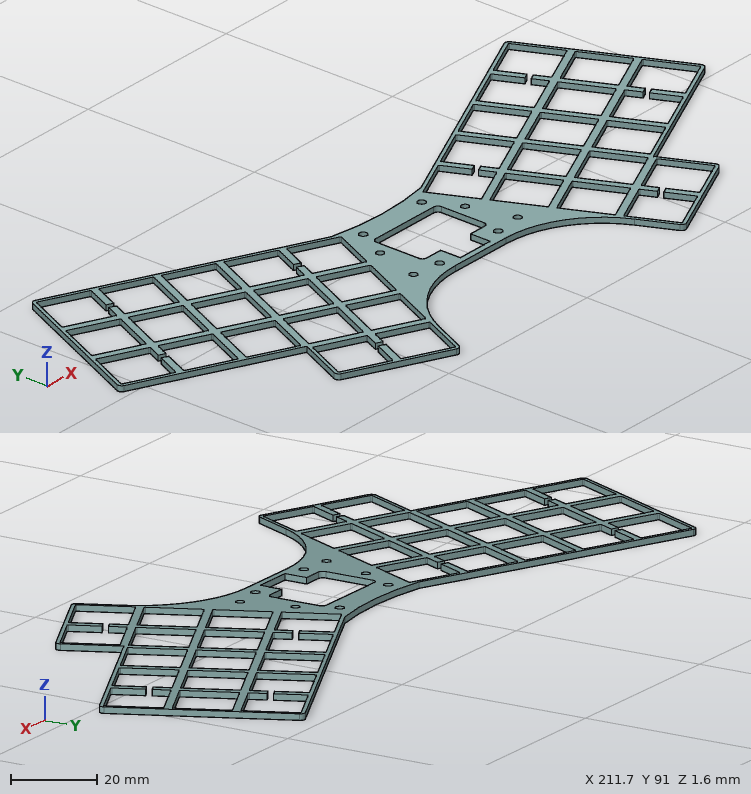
import math

import cadquery as cq

THICKNESS = 1.6
TILT = 25.0
KEY_SIZE = 14.0
KEY_RADIUS = 0.25
KEY_PITCH = 16.0
COLUMNS = 5
MAIN_ROWS = 3
THUMB_COLUMNS = 2
RIM = 1.0
CORNER_RADIUS = RIM + KEY_RADIUS
GRID_X = 41.027
GRID_Y = -44.572

BAR_BREAKS = [(0, 0), (3, 1), (3, 3), (0, 3)]
BREAK_WIDTH = 1.5
BREAK_OFFSET = 5.15

BRIDGE_BOTTOM_Y = -18.1
BRIDGE_TOP_Y = 11.75
BRIDGE_TOP_OVERLAP = 2.0
BRIDGE_ARC_RADIUS = 29.0

WINDOW_WIDTH = 23.5
WINDOW_TOP_Y = 4.8
WINDOW_BOTTOM_Y = -10.5
WINDOW_RADIUS = 1.25
NOTCH_WIDTH = 10.8
NOTCH_BOTTOM_Y = -16.4

SCREW_DIAMETER = 2.2
SCREW_POINTS = [(10.6, 8.5), (10.6, -14.5)]
STANDOFF_DIAMETER = 2.1
STANDOFF_POINTS = [(15.4, -0.6), (18.9, -13.5)]

COS = math.cos(math.radians(TILT))
SIN = math.sin(math.radians(TILT))


def grid_point(along, across):
    """Part coordinates of a point in the frame of the +X key grid."""
    return (GRID_X + along * COS - across * SIN, GRID_Y + along * SIN + across * COS)


def block(x_min, x_max, y_min, y_max):
    """Box through the full plate thickness."""
    return (
        cq.Workplane("XY")
        .center((x_min + x_max) / 2, (y_min + y_max) / 2)
        .rect(x_max - x_min, y_max - y_min)
        .extrude(THICKNESS)
    )


def cells_length(count):
    """Length spanned by a run of key openings, without the rim."""
    return (count - 1) * KEY_PITCH + KEY_SIZE


def bar_break(column, row):
    """Gap through the bar between a key and the next one outwards."""
    bar_start = column * KEY_PITCH + KEY_SIZE
    bar_end = (column + 1) * KEY_PITCH
    row_start = row * KEY_PITCH
    if row == MAIN_ROWS:
        middle = row_start + BREAK_OFFSET
    else:
        middle = row_start + KEY_SIZE - BREAK_OFFSET
    return block(bar_start, bar_end, middle - BREAK_WIDTH / 2, middle + BREAK_WIDTH / 2)


def key_grid():
    """Frame of key openings in its own untilted coordinates."""
    top = cells_length(MAIN_ROWS + 1)
    main_end = cells_length(COLUMNS) + RIM
    thumb_end = cells_length(THUMB_COLUMNS) + RIM
    thumb = block(-RIM, thumb_end, -RIM, top).edges("|Z and <Y").fillet(CORNER_RADIUS)
    main = block(-RIM, main_end, KEY_PITCH - RIM, top + RIM).edges("|Z and >X").fillet(CORNER_RADIUS)
    grid = thumb.union(main)
    for row in range(MAIN_ROWS + 1):
        columns = THUMB_COLUMNS if row == 0 else COLUMNS
        for column in range(columns):
            x = column * KEY_PITCH
            y = row * KEY_PITCH
            opening = block(x, x + KEY_SIZE, y, y + KEY_SIZE).edges("|Z").fillet(KEY_RADIUS)
            grid = grid.cut(opening)
    for column, row in BAR_BREAKS:
        grid = grid.cut(bar_break(column, row))
    return grid


def placed_grid():
    return key_grid().rotate((0, 0, 0), (0, 0, 1), TILT).translate((GRID_X, GRID_Y, 0))


def bridge():
    """Centre plate; its lower edge curves tangentially into the sides of the thumb keys."""
    side_angle = math.radians(90 - TILT)
    rim_x, rim_y = grid_point(-RIM, 0)
    corner_x = rim_x - (BRIDGE_BOTTOM_Y - rim_y) * SIN / COS
    tangent = BRIDGE_ARC_RADIUS * math.tan(side_angle / 2)
    start_x = corner_x - tangent
    centre_y = BRIDGE_BOTTOM_Y - BRIDGE_ARC_RADIUS
    middle = (
        start_x + BRIDGE_ARC_RADIUS * math.sin(side_angle / 2),
        centre_y + BRIDGE_ARC_RADIUS * math.cos(side_angle / 2),
    )
    end = (corner_x + tangent * SIN, BRIDGE_BOTTOM_Y - tangent * COS)
    inner_low = (end[0] + RIM * COS, end[1] + RIM * SIN)
    key_top = cells_length(MAIN_ROWS + 1)
    inner_top = grid_point(0, key_top)
    top_end = grid_point(BRIDGE_TOP_OVERLAP, key_top + RIM)
    return (
        cq.Workplane("XY")
        .moveTo(-start_x, BRIDGE_BOTTOM_Y)
        .lineTo(start_x, BRIDGE_BOTTOM_Y)
        .threePointArc(middle, end)
        .lineTo(*inner_low)
        .lineTo(*inner_top)
        .lineTo(*top_end)
        .threePointArc((0, BRIDGE_TOP_Y), (-top_end[0], top_end[1]))
        .lineTo(-inner_top[0], inner_top[1])
        .lineTo(-inner_low[0], inner_low[1])
        .lineTo(-end[0], end[1])
        .threePointArc((-middle[0], middle[1]), (-start_x, BRIDGE_BOTTOM_Y))
        .close()
        .extrude(THICKNESS)
    )


def controller_window():
    half = WINDOW_WIDTH / 2
    window = block(-half, half, WINDOW_BOTTOM_Y, WINDOW_TOP_Y).edges("|Z").fillet(WINDOW_RADIUS)
    notch = block(-NOTCH_WIDTH / 2, NOTCH_WIDTH / 2, NOTCH_BOTTOM_Y, WINDOW_TOP_Y - WINDOW_RADIUS)
    return window.union(notch)


def holes(points, diameter):
    both_sides = points + [(-x, y) for x, y in points]
    return cq.Workplane("XY").pushPoints(both_sides).circle(diameter / 2).extrude(THICKNESS)


right_grid = placed_grid()
left_grid = right_grid.mirror("YZ")
result = (
    bridge()
    .union(right_grid)
    .union(left_grid)
    .cut(controller_window())
    .cut(holes(SCREW_POINTS, SCREW_DIAMETER))
    .cut(holes(STANDOFF_POINTS, STANDOFF_DIAMETER))
)